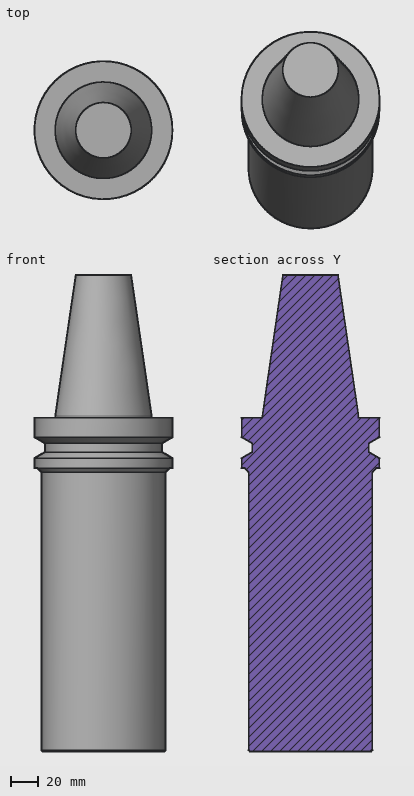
import cadquery as cq
import math

total_length = 344.8
taper_length = 101.8
gauge_z = total_length - taper_length

gauge_diameter = 69.85
taper_ratio = 7 / 24
taper_end_diameter = gauge_diameter - taper_length * taper_ratio

flange_diameter = 100
flange_gap = 1.5
flange_end_drop = 38
flange_top_z = gauge_z - flange_gap
flange_bottom_z = gauge_z - flange_end_drop
groove_floor_diameter = 85
groove_center_drop = 23.2
groove_mouth_width = 15
groove_wall_angle = 30
groove_center_z = gauge_z - groove_center_drop

body_diameter = 90
neck_size = 3
body_end_chamfer = 1


def turned(profile):
    """Revolve a closed (radius, z) half profile around the Z axis."""
    return cq.Workplane("XZ").polyline(profile).close().revolve(360, (0, 0, 0), (0, 1, 0))


def make_shank():
    gauge_radius = gauge_diameter / 2
    return turned([
        (0, flange_top_z),
        (gauge_radius, flange_top_z),
        (gauge_radius, gauge_z),
        (taper_end_diameter / 2, total_length),
        (0, total_length),
    ])


def make_flange():
    flange_radius = flange_diameter / 2
    floor_radius = groove_floor_diameter / 2
    wall_height = (flange_radius - floor_radius) * math.tan(math.radians(groove_wall_angle))
    mouth_half = groove_mouth_width / 2
    floor_half = mouth_half - wall_height
    return turned([
        (0, flange_bottom_z),
        (flange_radius, flange_bottom_z),
        (flange_radius, groove_center_z - mouth_half),
        (floor_radius, groove_center_z - floor_half),
        (floor_radius, groove_center_z + floor_half),
        (flange_radius, groove_center_z + mouth_half),
        (flange_radius, flange_top_z),
        (0, flange_top_z),
    ])


def make_body():
    """Plain cylinder with a chamfered free end and a conical neck under the flange."""
    body_radius = body_diameter / 2
    return turned([
        (0, 0),
        (body_radius - body_end_chamfer, 0),
        (body_radius, body_end_chamfer),
        (body_radius, flange_bottom_z - neck_size),
        (body_radius + neck_size, flange_bottom_z),
        (0, flange_bottom_z),
    ])


result = make_shank().union(make_flange()).union(make_body())